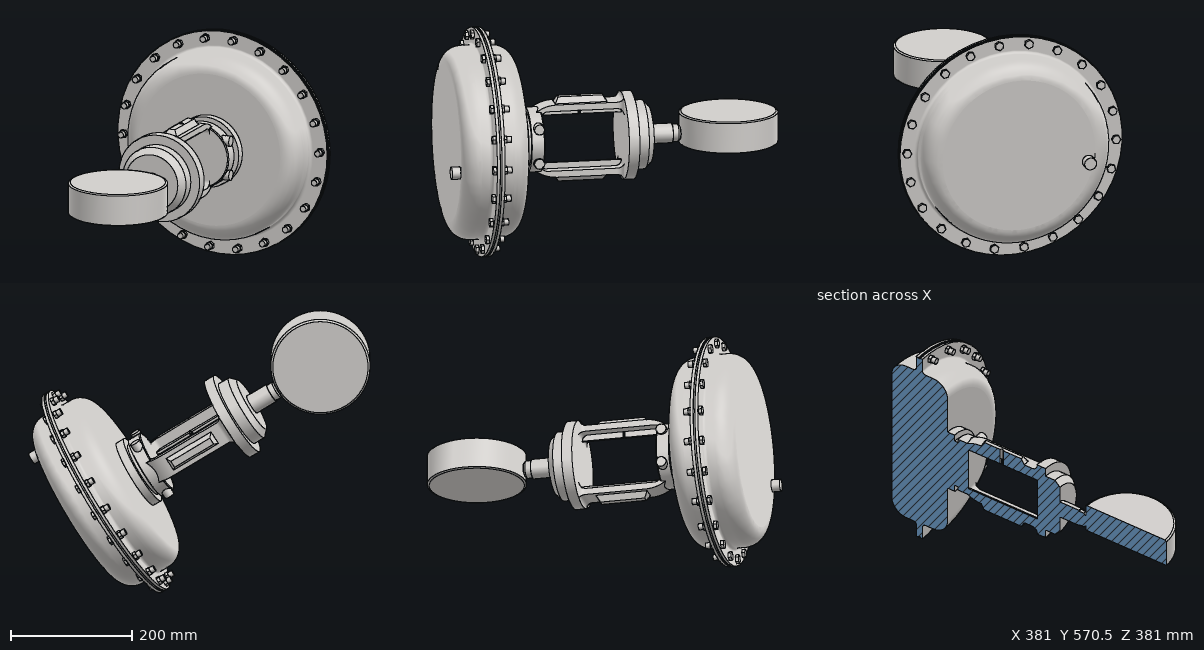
import cadquery as cq
import math


CASE_REAR = 14.0
CASE_FRONT = 128.0
REAR_SHELL_RADIUS = 161.0
FRONT_SHELL_RADIUS = 160.0
SHELL_CORNER_RADIUS = 30.0
FLANGE_RADIUS = 190.5
FLANGE_REAR = 64.0
FLANGE_FRONT = 77.0
FLANGE_ROOT_FILLET = 5.5
DIAPHRAGM_RADIUS = 189.5
DIAPHRAGM_REAR = 69.0
DIAPHRAGM_FRONT = 72.0

BOLT_COUNT = 22
BOLT_START_ANGLE = -15.0
BOLT_CIRCLE_RADIUS = 179.0
HEX_SIDES = 6
HEAD_DIAMETER = 15.0
HEAD_HEIGHT = 5.0
NUT_DIAMETER = 13.5
NUT_HEIGHT = 5.0
STUD_DIAMETER = 10.0
STUD_FRONT = 90.0

NOZZLE_RADIUS = 10.0
NOZZLE_OFFSET = 120.5
NOZZLE_ANGLE = 190.0

COLLAR_RADIUS = 60.0
COLLAR_FRONT = 142.0
NECK_RADIUS = 47.5
HUB_RADIUS = 54.0
HUB_REAR = 148.5
HUB_FRONT = 170.5
HUB_CHAMFER = 1.5
SCREW_RADIUS = 8.5
SCREW_STATION = 161.0
SCREW_HEIGHT = 29.0

YOKE_FLANGE_RADIUS = 73.5
YOKE_FLANGE_REAR = 308.0
YOKE_FLANGE_FRONT = 326.0
BONNET_RADIUS = 57.5
BONNET_FRONT = 355.0
BONNET_CHAMFER = 10.0
STEM_RADIUS = 16.5
STEM_FRONT = 393.0
TIP_RADIUS = 15.0
TIP_CHAMFER = 3.5

OVERALL_LENGTH = 570.5
DISC_RADIUS = 82.0
DISC_BOTTOM = -20.0
DISC_TOP = 33.5
DISC_EDGE_DROP = 1.5
DISC_EDGE_INSET = 3.5

LEG_WIDTH = 40.0
LEG_INNER = 51.0
LEG_OUTER = 61.5
LEG_RAMP_START = 159.0
LEG_RAMP_END = 195.0
LEG_RAMP_RADIUS = 56.0
LEG_END_RADIUS = 10.0
RIB_WIDTH = 4.5
RIB_INNER = 40.5

PAD_REAR = LEG_RAMP_END
PAD_FRONT = 282.5
PAD_WIDTH = 23.5
PAD_HEIGHT = 10.0
PAD_SLOPE_INSET = 5.5
PIN_HOLE_DIAMETER = 5.0
PIN_HOLE_STATION = 237.0


def cylinder(radius, rear, front, x=0, z=0):
    """Round bar along Y between two stations."""
    return cq.Workplane("XZ", origin=(x, -rear, z)).circle(radius).extrude(front - rear)


def hex_prism(corner_diameter, rear, front):
    """Hexagonal bar along Y between two stations."""
    return cq.Workplane("XZ", origin=(0, -rear, 0)).polygon(HEX_SIDES, corner_diameter).extrude(front - rear)


def make_shell(radius, flange_face, end):
    """Dished half casing with a filleted root where it meets the flange."""
    corner = SHELL_CORNER_RADIUS
    root = FLANGE_ROOT_FILLET
    toward_end = math.copysign(1, end - flange_face)
    mid_flange = (FLANGE_REAR + FLANGE_FRONT) / 2
    root_end = flange_face + toward_end * root
    corner_start = end - toward_end * corner
    return (
        cq.Workplane("XY")
        .moveTo(0, -mid_flange)
        .lineTo(radius + root, -mid_flange)
        .lineTo(radius + root, -flange_face)
        .radiusArc((radius, -root_end), -toward_end * root)
        .lineTo(radius, -corner_start)
        .radiusArc((radius - corner, -end), toward_end * corner)
        .lineTo(0, -end)
        .close()
        .revolve(360, (0, 0, 0), (0, 1, 0))
    )


def make_casing():
    nozzle_angle = math.radians(NOZZLE_ANGLE)
    nozzle_x = NOZZLE_OFFSET * math.cos(nozzle_angle)
    nozzle_z = NOZZLE_OFFSET * math.sin(nozzle_angle)
    return (
        make_shell(REAR_SHELL_RADIUS, FLANGE_REAR, CASE_REAR)
        .union(make_shell(FRONT_SHELL_RADIUS, FLANGE_FRONT, CASE_FRONT))
        .union(cylinder(FLANGE_RADIUS, FLANGE_REAR, DIAPHRAGM_REAR))
        .union(cylinder(DIAPHRAGM_RADIUS, DIAPHRAGM_REAR, DIAPHRAGM_FRONT))
        .union(cylinder(FLANGE_RADIUS, DIAPHRAGM_FRONT, FLANGE_FRONT))
        .union(cylinder(NOZZLE_RADIUS, 0, FLANGE_REAR, nozzle_x, nozzle_z))
    )


def make_bolt():
    """Hex bolt with nut, through the casing flange on the +X side."""
    head_rear = FLANGE_REAR - HEAD_HEIGHT
    head = hex_prism(HEAD_DIAMETER, head_rear, FLANGE_REAR)
    nut = hex_prism(NUT_DIAMETER, FLANGE_FRONT, FLANGE_FRONT + NUT_HEIGHT)
    stud = cylinder(STUD_DIAMETER / 2, head_rear, STUD_FRONT)
    return stud.union(head).union(nut).translate((BOLT_CIRCLE_RADIUS, 0, 0))


def make_hub():
    hub = cylinder(HUB_RADIUS, HUB_REAR, HUB_FRONT).faces("<Y").chamfer(HUB_CHAMFER)
    for z in (-SCREW_HEIGHT, SCREW_HEIGHT):
        screw = (
            cq.Workplane("YZ", origin=(0, -SCREW_STATION, z))
            .circle(SCREW_RADIUS)
            .extrude(HUB_RADIUS, both=True)
        )
        hub = hub.union(screw)
    collar = cylinder(COLLAR_RADIUS, CASE_FRONT, COLLAR_FRONT)
    neck = cylinder(NECK_RADIUS, COLLAR_FRONT, HUB_REAR)
    return hub.union(neck).union(collar)


def make_bonnet_and_stem():
    disc_rear = OVERALL_LENGTH - 2 * DISC_RADIUS
    flange = cylinder(YOKE_FLANGE_RADIUS, YOKE_FLANGE_REAR, YOKE_FLANGE_FRONT)
    bonnet = cylinder(BONNET_RADIUS, YOKE_FLANGE_FRONT, BONNET_FRONT).faces("<Y").chamfer(BONNET_CHAMFER)
    stem = cylinder(STEM_RADIUS, BONNET_FRONT, STEM_FRONT)
    tip = cylinder(TIP_RADIUS, STEM_FRONT, disc_rear).faces("<Y").chamfer(TIP_CHAMFER)
    core = cylinder(TIP_RADIUS - TIP_CHAMFER, STEM_FRONT, disc_rear + DISC_RADIUS)
    return flange.union(bonnet).union(stem).union(tip).union(core)


def make_disc():
    return (
        cq.Workplane("XY", origin=(0, DISC_RADIUS - OVERALL_LENGTH, DISC_BOTTOM))
        .circle(DISC_RADIUS)
        .extrude(DISC_TOP - DISC_BOTTOM)
        .faces("<Z or >Z")
        .chamfer(DISC_EDGE_DROP, DISC_EDGE_INSET)
    )


def make_leg():
    """Upper yoke leg, from inside the hub to the yoke flange."""
    ramp_run = LEG_RAMP_END - LEG_RAMP_START
    ramp_drop = LEG_RAMP_RADIUS - math.sqrt(LEG_RAMP_RADIUS**2 - ramp_run**2)
    end_radius = LEG_END_RADIUS
    flare_start = YOKE_FLANGE_REAR - end_radius
    blended_inner = LEG_INNER - end_radius
    half_width = LEG_WIDTH / 2
    flared_half = half_width + end_radius

    side_profile = (
        cq.Workplane("YZ")
        .moveTo(-LEG_RAMP_START, blended_inner)
        .lineTo(-LEG_RAMP_START, LEG_OUTER - ramp_drop)
        .radiusArc((-LEG_RAMP_END, LEG_OUTER), -LEG_RAMP_RADIUS)
        .lineTo(-flare_start, LEG_OUTER)
        .radiusArc((-YOKE_FLANGE_REAR, LEG_OUTER + end_radius), end_radius)
        .lineTo(-YOKE_FLANGE_REAR, blended_inner)
        .radiusArc((-flare_start, LEG_INNER), end_radius)
        .lineTo(-HUB_FRONT - end_radius, LEG_INNER)
        .radiusArc((-HUB_FRONT, blended_inner), end_radius)
        .close()
        .extrude(flared_half, both=True)
    )
    width_outline = (
        cq.Workplane("XY")
        .moveTo(half_width, -LEG_RAMP_START)
        .lineTo(half_width, -flare_start)
        .radiusArc((flared_half, -YOKE_FLANGE_REAR), -end_radius)
        .lineTo(-flared_half, -YOKE_FLANGE_REAR)
        .radiusArc((-half_width, -flare_start), -end_radius)
        .lineTo(-half_width, -LEG_RAMP_START)
        .close()
        .extrude(YOKE_FLANGE_RADIUS)
    )
    flange_envelope = cylinder(YOKE_FLANGE_RADIUS, LEG_RAMP_START, YOKE_FLANGE_REAR)
    plate = side_profile.intersect(width_outline).intersect(flange_envelope)

    rib_length = YOKE_FLANGE_REAR - HUB_FRONT
    rib = (
        cq.Workplane("XY", origin=(0, -YOKE_FLANGE_REAR, RIB_INNER))
        .box(RIB_WIDTH, rib_length, LEG_INNER - RIB_INNER, centered=(True, False, False))
    )

    pad_taper = math.degrees(math.atan2(PAD_SLOPE_INSET, PAD_HEIGHT))
    pad = (
        cq.Workplane("XY", origin=(0, -(PAD_REAR + PAD_FRONT) / 2, LEG_OUTER))
        .rect(PAD_WIDTH, PAD_FRONT - PAD_REAR)
        .extrude(PAD_HEIGHT, taper=pad_taper)
    )
    return plate.union(rib).union(pad)


def make_pin_hole():
    return (
        cq.Workplane("XY", origin=(0, -PIN_HOLE_STATION, 0))
        .circle(PIN_HOLE_DIAMETER / 2)
        .extrude(LEG_OUTER + PAD_HEIGHT)
    )


result = make_casing().union(make_hub()).union(make_bonnet_and_stem()).union(make_disc())

bolt = make_bolt()
for i in range(BOLT_COUNT):
    angle = BOLT_START_ANGLE + i * 360 / BOLT_COUNT
    result = result.union(bolt.rotate((0, 0, 0), (0, 1, 0), -angle))

leg = make_leg()
result = result.union(leg.cut(make_pin_hole())).union(leg.mirror("XY"))